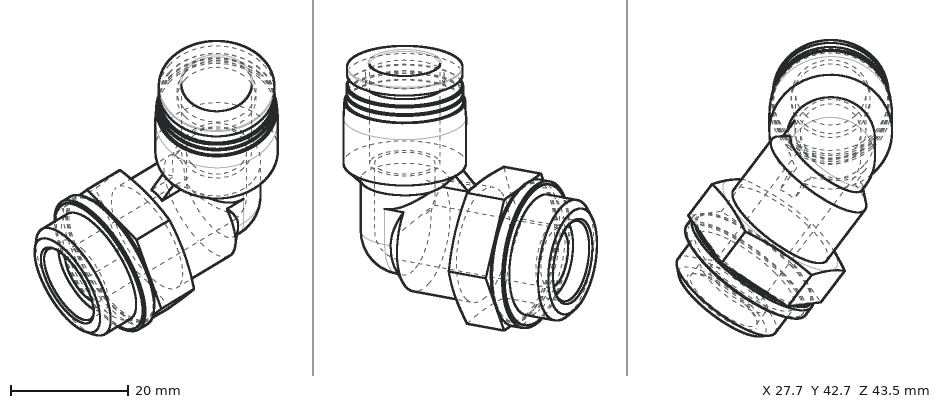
import cadquery as cq
import math


elbow_radius = 15.1 / 2
bore_radius = 10.3 / 2

barrel_radius = 20.0 / 2
barrel_chamfer = 3.6
hex_across_flats = 24.0
hex_start = 15.0
hex_end = 22.6
hex_chamfer_angle = math.radians(15)
neck_radius = 24.0 / 2
washer_start = 22.95
washer_end = 25.4
washer_radius = 25.5 / 2
washer_edge_radius = 24.5 / 2
washer_chamfer_length = 0.3
washer_step_length = 0.25
thread_radius = 20.95 / 2
thread_end = 32.2
thread_chamfer = 1.3
mouth_radius = 13.97 / 2
mouth_depth = 3.5
mouth_chamfer = 0.4

sleeve_radius = 21.0 / 2
sleeve_bottom = 12.3
taper_bottom = 20.7
sleeve_top = 23.65
sleeve_taper = 0.15
collar_radius = 20.0 / 2
collar_chamfer = 0.25
groove_radius = 19.8 / 2
groove_bottom = 24.85
groove_top = 25.15
collar_top = 26.65
release_neck_radius = 13.5 / 2
release_radius = 19.8 / 2
release_bottom = 28.55
release_edge_top = 30.0
release_edge_round = 0.15
release_top = 30.7
tube_radius = 12.0 / 2
tube_lip_round = 0.25
tube_seat = sleeve_bottom

rib_width = 3.0


def along_minus_y(profile):
    """Revolve (radius, distance) points about the threaded branch axis."""
    points = [(radius, -distance) for radius, distance in profile]
    return cq.Workplane("XY").polyline(points).close().revolve(360, (0, 0, 0), (0, 1, 0))


def cylinder_up(radius, height):
    """Cylinder from the origin along +Z."""
    return cq.Workplane("XY").circle(radius).extrude(height)


def cylinder_minus_y(radius, length):
    """Cylinder from the origin along -Y."""
    return cq.Workplane("XZ").circle(radius).extrude(length)


def elbow_pipe(radius, height, length):
    """Two round legs joined by a ball at the origin."""
    ball = cq.Workplane("XY").sphere(radius)
    return ball.union(cylinder_up(radius, height)).union(cylinder_minus_y(radius, length))


def barrel():
    """Round barrel with a conical end, chamfered all round."""
    return along_minus_y([
        (0, 0),
        (barrel_radius - barrel_chamfer, 0),
        (barrel_radius, barrel_chamfer),
        (barrel_radius, hex_start),
        (0, hex_start),
    ])


def barrel_saddle():
    """Flat-sided filling of the barrel's upper half, as wide as the elbow."""
    upper_half = cq.Workplane("XY").box(
        2 * elbow_radius, barrel_chamfer, barrel_radius, centered=(True, False, False)
    ).translate((0, -barrel_chamfer, 0))
    return upper_half.intersect(cylinder_minus_y(barrel_radius, barrel_chamfer))


def hex_nut():
    """Hexagon with corners on the X axis and its rear corners turned off."""
    corner_radius = hex_across_flats / 2 / math.cos(math.pi / 6)
    flat_radius = hex_across_flats / 2
    corner_drop = (corner_radius - flat_radius) * math.tan(hex_chamfer_angle)
    hexagon = (
        cq.Workplane("XZ", origin=(0, -hex_start, 0))
        .polygon(6, 2 * corner_radius)
        .extrude(hex_end - hex_start)
    )
    turned_blank = along_minus_y([
        (0, hex_start),
        (flat_radius, hex_start),
        (corner_radius, hex_start + corner_drop),
        (corner_radius, hex_end),
        (0, hex_end),
    ])
    return hexagon.intersect(turned_blank)


def threaded_end():
    """Neck, sealing washer and plain thread envelope with a chamfered tip."""
    return along_minus_y([
        (0, hex_start),
        (neck_radius, hex_start),
        (neck_radius, washer_start),
        (washer_edge_radius, washer_start),
        (washer_radius, washer_start + washer_chamfer_length),
        (washer_radius, washer_end - washer_step_length),
        (washer_edge_radius, washer_end - washer_step_length),
        (washer_edge_radius, washer_end),
        (thread_radius, washer_end),
        (thread_radius, thread_end - thread_chamfer),
        (thread_radius - thread_chamfer, thread_end),
        (0, thread_end),
    ])


def push_in_end():
    """Sleeve with a conical foot, collars and a conical release ring."""
    cone_height = sleeve_radius - elbow_radius
    lip_radius = tube_radius + tube_lip_round
    branch = (
        cq.Workplane("XZ")
        .moveTo(0, sleeve_bottom - cone_height)
        .lineTo(elbow_radius, sleeve_bottom - cone_height)
        .lineTo(sleeve_radius, sleeve_bottom)
        .lineTo(sleeve_radius, taper_bottom)
        .lineTo(sleeve_radius - sleeve_taper, sleeve_top)
        .lineTo(collar_radius, sleeve_top)
        .lineTo(collar_radius, groove_bottom)
        .lineTo(groove_radius, groove_top)
        .lineTo(collar_radius, groove_top)
        .lineTo(collar_radius, collar_top - collar_chamfer)
        .lineTo(collar_radius - collar_chamfer, collar_top)
        .lineTo(release_neck_radius, collar_top)
        .lineTo(release_neck_radius, release_bottom)
        .lineTo(release_radius, release_bottom)
        .lineTo(release_radius, release_edge_top)
        .lineTo(lip_radius, release_top)
        .lineTo(0, release_top)
        .close()
        .revolve(360, (0, 0, 0), (0, 1, 0))
    )
    release_edge = cq.selectors.BoxSelector(
        (-release_radius, -release_radius, release_edge_top - release_edge_round),
        (release_radius, release_radius, release_edge_top + release_edge_round),
        boundingbox=False,
    )
    return branch.edges(release_edge).fillet(release_edge_round)


def rib():
    """Triangular web with a 45 degree edge from the sleeve down to the barrel."""
    edge_sum = sleeve_radius + sleeve_bottom
    return (
        cq.Workplane("YZ")
        .polyline([
            (0, elbow_radius),
            (0, sleeve_bottom),
            (-sleeve_radius, sleeve_bottom),
            (elbow_radius - edge_sum, elbow_radius),
        ])
        .close()
        .extrude(rib_width / 2, both=True)
    )


def tube_socket():
    """Stepped bore for the tube, with a rounded entry."""
    lip_radius = tube_radius + tube_lip_round
    lip_inset = tube_lip_round * (1 - math.cos(math.pi / 4))
    lip_middle = (tube_radius + lip_inset, release_top - lip_inset)
    return (
        cq.Workplane("XZ")
        .moveTo(0, tube_seat)
        .lineTo(tube_radius, tube_seat)
        .lineTo(tube_radius, release_top - tube_lip_round)
        .threePointArc(lip_middle, (lip_radius, release_top))
        .lineTo(0, release_top)
        .close()
        .revolve(360, (0, 0, 0), (0, 1, 0))
    )


def thread_mouth():
    """Counterbore in the threaded end, with a chamfered entry."""
    return along_minus_y([
        (0, thread_end - mouth_depth),
        (mouth_radius, thread_end - mouth_depth),
        (mouth_radius, thread_end - mouth_chamfer),
        (mouth_radius + mouth_chamfer, thread_end),
        (0, thread_end),
    ])


body = elbow_pipe(elbow_radius, sleeve_bottom, hex_start)
for feature in (barrel(), barrel_saddle(), hex_nut(), threaded_end(), push_in_end(), rib()):
    body = body.union(feature)

result = (
    body
    .cut(elbow_pipe(bore_radius, release_top, thread_end))
    .cut(tube_socket())
    .cut(thread_mouth())
)